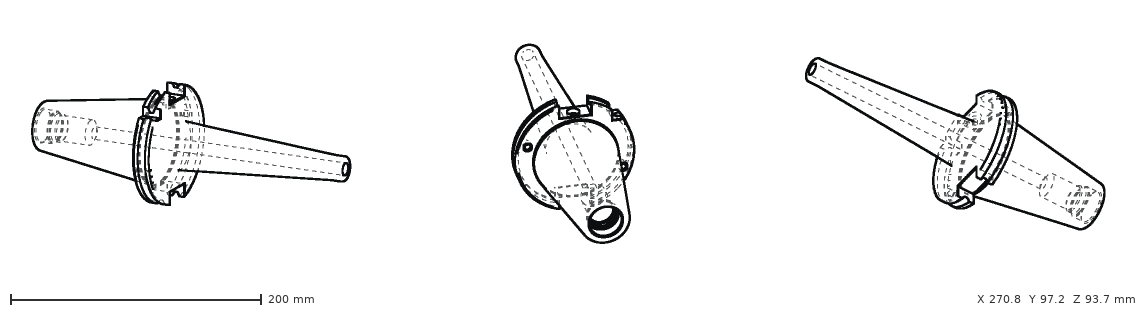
import cadquery as cq
import math

total_length = 270.8
gauge_x = 102.3
flange_start_x = 104.8
flange_width = 16.0
nose_length = 10.5

gauge_radius = 35.0
taper_ratio = 7 / 24
tail_fillet = 2.7
relief_depth = 0.5
relief_width = 1.5

flange_diameter = 97.2
flange_rim_fillet = 1.4
groove_mouth_width = 6.5
groove_depth = 3.2
groove_half_angle = 30
groove_root_fillet = 0.95

keyway_width = 25.7
top_keyway_floor = 37.5
bottom_keyway_floor = 35.7
corner_notch = 30.3
cut_edge_chamfer = 0.5

neck_radius = 20.0
nose_radius = 10.3
neck_fillet = 5.0
nose_fillet = 2.0

drill_half_angle = 59

mouth_radius = 13.3
mouth_depth = 10.8
mouth_chamfer = 0.95
lead_in_radius = 12.5
lead_in_depth = 12.0
thread_radius = 11.5
thread_depth = 16.8
core_radius = 10.3
core_depth = 43.3
through_diameter = 10.0

seat_radius = 5.1
seat_depth = 4.3
seat_pilot_radius = 2.03
seat_pilot_depth = 3.2

coolant_circle_radius = 41.7
coolant_angle = 20
coolant_mouth_radius = 3.5
coolant_mouth_depth = 0.8
coolant_radius = 2.5

flange_radius = flange_diameter / 2
through_radius = through_diameter / 2
flange_end_x = flange_start_x + flange_width
flange_mid_x = flange_start_x + flange_width / 2
drill_slope = 1 / math.tan(math.radians(drill_half_angle))
nose_start_x = total_length - nose_length
tail_radius = gauge_radius - gauge_x * taper_ratio / 2
groove_floor_radius = flange_radius - groove_depth


def revolve_about_x(points):
    """Solid of revolution about X from a closed outline of (x, radius) points."""
    return cq.Workplane("XZ").polyline(points).close().revolve(360, (0, 0, 0), (1, 0, 0))


def fillet_ring(solid, x, radius, fillet):
    """Round the circular edge that has the given place on the axis and radius."""
    tolerance = 0.03

    def is_ring(edge):
        box = edge.BoundingBox()
        flat = abs(box.xmin - x) < tolerance and abs(box.xmax - x) < tolerance
        return flat and abs(box.zmax - radius) < tolerance

    return solid.newObject([e for e in solid.edges().vals() if is_ring(e)]).fillet(fillet)


def make_shank():
    """Steep taper, relief and front taper, without the flange."""
    relief_end_x = gauge_x + relief_width
    relief_radius = gauge_radius - relief_depth
    shank = revolve_about_x([
        (0, 0),
        (0, tail_radius),
        (gauge_x, gauge_radius),
        (gauge_x + relief_depth, relief_radius),
        (relief_end_x - relief_depth, relief_radius),
        (relief_end_x, gauge_radius),
        (flange_mid_x, gauge_radius),
        (flange_mid_x, neck_radius),
        (flange_end_x, neck_radius),
        (nose_start_x, nose_radius),
        (total_length, nose_radius),
        (total_length, 0),
    ])
    shank = fillet_ring(shank, 0, tail_radius, tail_fillet)
    return fillet_ring(shank, total_length, nose_radius, nose_fillet)


def make_flange():
    """Flange disc with rounded rims and the V-groove around it."""
    mouth_half = groove_mouth_width / 2
    floor_half = mouth_half - groove_depth * math.tan(math.radians(groove_half_angle))
    flange = revolve_about_x([
        (flange_start_x, 0),
        (flange_start_x, flange_radius),
        (flange_mid_x - mouth_half, flange_radius),
        (flange_mid_x - floor_half, groove_floor_radius),
        (flange_mid_x + floor_half, groove_floor_radius),
        (flange_mid_x + mouth_half, flange_radius),
        (flange_end_x, flange_radius),
        (flange_end_x, 0),
    ])
    for x in (flange_start_x, flange_end_x):
        flange = fillet_ring(flange, x, flange_radius, flange_rim_fillet)
    for x in (flange_mid_x - floor_half, flange_mid_x + floor_half):
        flange = fillet_ring(flange, x, groove_floor_radius, groove_root_fillet)
    return flange


def rim_cutter(y, z, width):
    """Block across the flange centred at (y, z), flared at both flange faces to chamfer the edges."""
    height = flange_radius

    def flare(x, inward):
        """Widest at the flange face, narrowing to the block's own section."""
        spread = 2 * cut_edge_chamfer
        return (cq.Workplane("YZ", origin=(x, y, z)).rect(width + spread, height + spread)
                .workplane(offset=inward * cut_edge_chamfer).rect(width, height).loft(ruled=True))

    cutter = cq.Workplane("YZ", origin=(flange_start_x, y, z)).rect(width, height).extrude(flange_width)
    return cutter.union(flare(flange_start_x, 1)).union(flare(flange_end_x, -1))


def make_rim_cuts():
    """Two opposed keyways and the square notch at the -Y, +Z corner."""
    half_block = flange_radius / 2
    top = rim_cutter(0, top_keyway_floor + half_block, keyway_width)
    bottom = rim_cutter(0, -bottom_keyway_floor - half_block, keyway_width)
    notch = rim_cutter(-corner_notch - half_block, corner_notch + half_block, flange_radius)
    return top.union(bottom).union(notch)


def make_bore():
    """Stepped bore from the taper's small end, drilled through to the nose."""
    thread_chamfer = lead_in_radius - thread_radius
    core_chamfer = thread_radius - core_radius
    cone_length = (core_radius - through_radius) * drill_slope
    return revolve_about_x([
        (0, 0),
        (0, mouth_radius + mouth_chamfer),
        (mouth_chamfer, mouth_radius),
        (mouth_depth, mouth_radius),
        (mouth_depth, lead_in_radius),
        (lead_in_depth, lead_in_radius),
        (lead_in_depth + thread_chamfer, thread_radius),
        (thread_depth, thread_radius),
        (thread_depth + core_chamfer, core_radius),
        (core_depth, core_radius),
        (core_depth + cone_length, through_radius),
        (total_length, through_radius),
        (total_length, 0),
    ])


def drilled_hole(start, direction, radius, depth):
    """Blind round hole with a conical drill tip beyond its full-size depth."""
    end = start + direction * depth
    cylinder = cq.Solid.makeCylinder(radius, depth, start, direction)
    tip = cq.Solid.makeCone(radius, 0, radius * drill_slope, end, direction)
    return cq.Workplane(cylinder).union(cq.Workplane(tip))


def make_screw_seat():
    """Flat-bottomed seat with a drilled pilot, down from the top keyway floor."""
    down = cq.Vector(0, 0, -1)
    start = cq.Vector(flange_mid_x, 0, top_keyway_floor)
    seat = cq.Workplane(cq.Solid.makeCylinder(seat_radius, seat_depth, start, down))
    return seat.union(drilled_hole(start, down, seat_pilot_radius, seat_depth + seat_pilot_depth))


def make_coolant_hole(angle):
    """Axial stepped blind hole in the flange face, at an angle about X from +Y."""
    def axial(radius, depth):
        return (cq.Workplane("YZ", origin=(flange_start_x, coolant_circle_radius, 0))
                .circle(radius).extrude(depth))

    hole = axial(coolant_mouth_radius, coolant_mouth_depth).union(axial(coolant_radius, flange_width / 2))
    return hole.rotate((0, 0, 0), (1, 0, 0), angle)


flange = make_flange().cut(make_rim_cuts())

body = make_shank().union(flange)
body = fillet_ring(body, flange_end_x, neck_radius, neck_fillet)
body = body.cut(make_bore()).cut(make_screw_seat())
for half_turn in (0, 180):
    body = body.cut(make_coolant_hole(coolant_angle + half_turn))

result = body